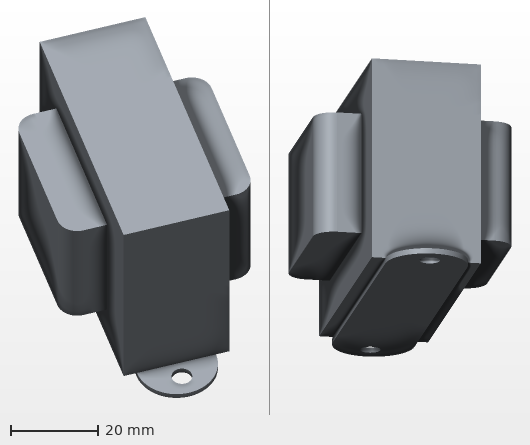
import cadquery as cq

core_length = 63.21
core_depth = 25.4
core_height = 47.63

strap_width = 19.05
strap_thickness = 1.27
strap_length = core_length + strap_width
hole_diameter = 4.76
hole_spacing = 71.44

coil_length = 38.1
coil_depth = 46.23
coil_height = 28.58
coil_corner_radius = 4.76


def make_strap():
    """Flat strap under the core, with one mounting hole near each end."""
    return (
        cq.Workplane("XY")
        .slot2D(strap_length, strap_width)
        .extrude(strap_thickness)
        .faces(">Z")
        .workplane()
        .pushPoints([(-hole_spacing / 2, 0), (hole_spacing / 2, 0)])
        .hole(hole_diameter)
    )


def make_core():
    """Rectangular block resting on the strap."""
    return (
        cq.Workplane("XY")
        .workplane(offset=strap_thickness)
        .rect(core_length, core_depth)
        .extrude(core_height)
    )


def make_coil():
    """Winding block with rounded vertical edges, projecting from both core faces."""
    coil_bottom = strap_thickness + (core_height - coil_height) / 2
    return (
        cq.Workplane("XY")
        .workplane(offset=coil_bottom)
        .rect(coil_length, coil_depth)
        .extrude(coil_height)
        .edges("|Z")
        .fillet(coil_corner_radius)
    )


result = make_strap().union(make_core()).union(make_coil())